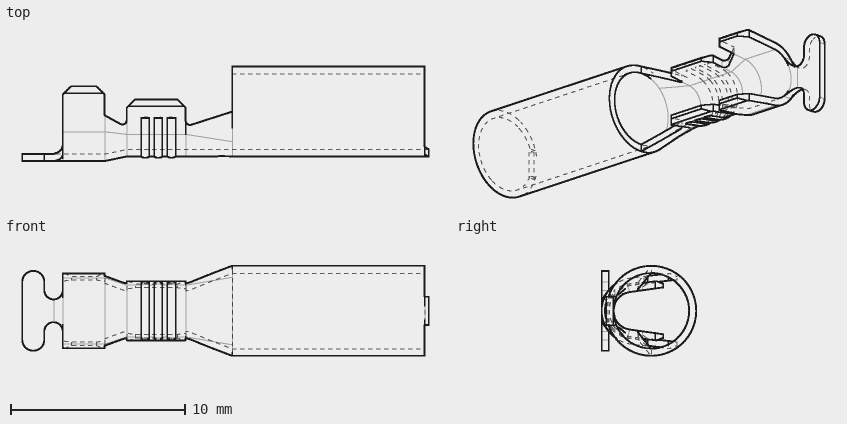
import cadquery as cq
import math

SHEET = 0.42

BARREL_RADIUS = 2.59
BARREL_START = 12.06
BARREL_END = 23.12
CREASE_ANGLE = 41.5

OVERALL_LENGTH = 23.37
TONGUE_HALF_WIDTH = 0.82

INSULATION = (-2.85, 1.917, 6.5)
INSULATION_START = 2.33
INSULATION_END = 4.745
INSULATION_TIP = 1.454

WIRE = (-BARREL_RADIUS, 1.50, 8.0)
WIRE_START = 6.01
WIRE_END = 9.40
WIRE_TIP = 0.70

CORNER_CHAMFER = 0.48
BEVEL_LENGTH = 0.40
BEVEL_DEPTH = SHEET / 2

INSULATION_WALL_TOP = -0.21
WIRE_FRONT_WALL_TOP = -0.91
WIRE_REAR_WALL_TOP = -0.857
BARREL_WALL_TOP = 0.0
WALL_CORNER_RADIUS = 0.25
TRIM_ALLOWANCE = 2 * WALL_CORNER_RADIUS

RIDGE_COUNT = 3
RIDGE_FIRST = 7.07
RIDGE_PITCH = 0.755
RIDGE_WIDTH = 0.47
RIDGE_HEIGHT = 0.08
RIDGE_TOP = -0.37

TAB_BOTTOM = INSULATION[0]
TAB_WIDTH = 1.28
TAB_HALF_HEIGHT = 2.30
NECK_HALF_WIDTH = 0.66
NOTCH_RADIUS = (INSULATION_START - TAB_WIDTH) / 2
NOTCH_X = TAB_WIDTH + NOTCH_RADIUS
NOTCH_Z = NECK_HALF_WIDTH + NOTCH_RADIUS


def arc_point(center_y, radius, angle):
    """Point (Y, Z) on an arc, the angle in degrees measured from -Y toward +Z."""
    turn = math.radians(angle)
    return (center_y - radius * math.cos(turn), radius * math.sin(turn))


def mirrored(point):
    return (point[0], -point[1])


def section_plane(x):
    """Cross-section plane at x, with local axes (Y, Z)."""
    return cq.Workplane("YZ", origin=(x, 0, 0))


def wing_point(crimp, inset, y):
    """Point at height y on a wing's flat, inset from its outer face."""
    bottom, radius, flare = crimp
    start_y, start_z = arc_point(bottom + radius, radius - inset, 90 - flare)
    return (y, start_z + (y - start_y) * math.tan(math.radians(flare)))


def u_section(x, crimp, top, bevelled=False):
    """U-shaped crimp outline at x: a round floor and two flared wings up to Y = top."""
    bottom, radius, flare = crimp
    center = bottom + radius
    inner_radius = radius - SHEET
    outer_start = arc_point(center, radius, 90 - flare)
    inner_start = arc_point(center, inner_radius, 90 - flare)
    inner_tip = wing_point(crimp, SHEET, top)
    outer_side = [wing_point(crimp, 0, top)]
    if bevelled:
        outer_side = [
            wing_point(crimp, 0, top - BEVEL_LENGTH),
            wing_point(crimp, BEVEL_DEPTH, top),
        ]

    outline = section_plane(x).moveTo(*mirrored(outer_side[0]))
    outline = outline.lineTo(*mirrored(outer_start))
    outline = outline.threePointArc((bottom, 0), outer_start)
    for point in outer_side:
        outline = outline.lineTo(*point)
    outline = outline.lineTo(*inner_tip).lineTo(*inner_start)
    outline = outline.threePointArc((bottom + SHEET, 0), mirrored(inner_start))
    outline = outline.lineTo(*mirrored(inner_tip))
    for point in reversed(outer_side[1:]):
        outline = outline.lineTo(*mirrored(point))
    return outline.close()


def half_barrel_section(x):
    """Lower half of the barrel ring, split at the creases to match a U section."""
    crease = 90 - CREASE_ANGLE
    top = 90 + math.degrees(math.asin(BARREL_WALL_TOP / BARREL_RADIUS))
    middle = (crease + top) / 2

    def on_ring(radius, angle):
        return arc_point(0, radius, angle)

    outer = BARREL_RADIUS
    inner = BARREL_RADIUS - SHEET
    return (
        section_plane(x)
        .moveTo(*on_ring(outer, -top))
        .threePointArc(on_ring(outer, -middle), on_ring(outer, -crease))
        .threePointArc(on_ring(outer, 0), on_ring(outer, crease))
        .threePointArc(on_ring(outer, middle), on_ring(outer, top))
        .lineTo(*on_ring(inner, top))
        .threePointArc(on_ring(inner, middle), on_ring(inner, crease))
        .threePointArc(on_ring(inner, 0), on_ring(inner, -crease))
        .threePointArc(on_ring(inner, -middle), on_ring(inner, -top))
        .close()
    )


def ruled_loft(first, second):
    wires = [first.wire().val(), second.wire().val()]
    return cq.Workplane(cq.Solid.makeLoft(wires, True))


def make_crimp(start, end, crimp, tip):
    """Crimp barrel with bevelled wing tips and chamfered wing corners."""
    body = u_section(start, crimp, tip, bevelled=True).extrude(end - start)
    for corner_x, inward in ((start, 1), (end, -1)):
        corner = (
            cq.Workplane("XY")
            .moveTo(corner_x, tip)
            .lineTo(corner_x + inward * CORNER_CHAMFER, tip)
            .lineTo(corner_x, tip - CORNER_CHAMFER)
            .close()
            .extrude(BARREL_RADIUS, both=True)
        )
        body = body.cut(corner)
    return body


def make_ridge(x):
    """Raised rib around the floor of the wire crimp and up both wings to RIDGE_TOP."""
    bottom, radius, flare = WIRE
    center = bottom + radius
    root = radius - SHEET / 2
    left = x - RIDGE_WIDTH / 2
    right = x + RIDGE_WIDTH / 2
    crest = -radius - RIDGE_HEIGHT

    def profile():
        return (
            cq.Workplane("XY", origin=(0, center, 0))
            .moveTo(left, -root)
            .lineTo(left, -radius)
            .threePointArc((x, crest), (right, -radius))
            .lineTo(right, -root)
            .close()
        )

    def turned(shape, angle):
        return shape.rotate((0, center, 0), (1, center, 0), angle)

    sweep = 90 - flare
    wing_start = arc_point(center, radius, sweep)[0]
    wing_length = (RIDGE_TOP - wing_start) / math.cos(math.radians(flare))
    ridge = turned(profile().revolve(2 * sweep, (0, 0), (1, 0)), -sweep)
    for side in (1, -1):
        straight = profile().extrude(side * wing_length)
        rounded_end = (
            cq.Workplane("XY", origin=(0, center, side * wing_length))
            .moveTo(left, -radius)
            .threePointArc((x, crest), (right, -radius))
            .close()
            .revolve(side * 90, (left, -radius), (right, -radius))
        )
        ridge = ridge.union(turned(straight.union(rounded_end), -side * sweep))
    return ridge


def arc_strip(x, bottom, radius, half_width):
    """Curved strip of sheet at x, cut from a round floor between Z = -/+ half_width."""
    inner_radius = radius - SHEET
    center = bottom + radius
    outer_y = center - math.sqrt(radius**2 - half_width**2)
    inner_y = center - math.sqrt(inner_radius**2 - half_width**2)
    return (
        section_plane(x)
        .moveTo(outer_y, -half_width)
        .threePointArc((bottom, 0), (outer_y, half_width))
        .lineTo(inner_y, half_width)
        .threePointArc((bottom + SHEET, 0), (inner_y, -half_width))
        .close()
    )


def flat_strip(x, bottom, half_width):
    return section_plane(x).center(bottom + SHEET / 2, 0).rect(SHEET, 2 * half_width)


def make_tab():
    """Round-ended carrier tab, with a notched neck that curls into the insulation crimp."""
    plate_plane = cq.Workplane("XZ", origin=(0, TAB_BOTTOM, 0))
    bar = (
        plate_plane.center(TAB_WIDTH / 2, 0)
        .slot2D(2 * TAB_HALF_HEIGHT, TAB_WIDTH, 90)
        .extrude(-SHEET)
    )
    neck_start = TAB_WIDTH / 2
    neck = (
        plate_plane.center((neck_start + NOTCH_X) / 2, 0)
        .rect(NOTCH_X - neck_start, 2 * NOTCH_Z)
        .extrude(-SHEET)
    )
    bottom, radius, _ = INSULATION
    curl = ruled_loft(
        flat_strip(NOTCH_X, bottom, NOTCH_Z),
        arc_strip(INSULATION_START, bottom, radius, NOTCH_Z),
    )
    notches = (
        plate_plane.pushPoints([(NOTCH_X, NOTCH_Z), (NOTCH_X, -NOTCH_Z)])
        .circle(NOTCH_RADIUS)
        .extrude(BARREL_RADIUS, both=True)
    )
    return bar.union(neck).union(curl).cut(notches)


def make_barrel():
    return (
        section_plane(BARREL_START)
        .circle(BARREL_RADIUS)
        .circle(BARREL_RADIUS - SHEET)
        .extrude(BARREL_END - BARREL_START)
    )


def make_tongue():
    """Tongue on the barrel floor, flattening out toward its free end."""
    return ruled_loft(
        arc_strip(BARREL_END, -BARREL_RADIUS, BARREL_RADIUS, TONGUE_HALF_WIDTH),
        flat_strip(OVERALL_LENGTH, -BARREL_RADIUS, TONGUE_HALF_WIDTH),
    )


def trim_walls(transition, wire_x, wire_y, far_x, far_y):
    """Slope the wall tops from the far end down to the wire crimp, rounding the low corner."""
    above_walls = (
        cq.Workplane("XY")
        .moveTo(wire_x, wire_y)
        .lineTo(far_x, far_y)
        .lineTo(far_x, BARREL_RADIUS)
        .lineTo(wire_x, BARREL_RADIUS)
        .close()
        .extrude(BARREL_RADIUS, both=True)
        .edges(cq.selectors.NearestToPointSelector((wire_x, wire_y, 0)))
        .fillet(WALL_CORNER_RADIUS)
    )
    return transition.cut(above_walls)


def make_front_transition():
    walls = ruled_loft(
        u_section(INSULATION_END, INSULATION, INSULATION_WALL_TOP),
        u_section(WIRE_START, WIRE, WIRE_FRONT_WALL_TOP + TRIM_ALLOWANCE),
    )
    return trim_walls(walls, WIRE_START, WIRE_FRONT_WALL_TOP, INSULATION_END, INSULATION_WALL_TOP)


def make_rear_transition():
    walls = ruled_loft(
        u_section(WIRE_END, WIRE, WIRE_REAR_WALL_TOP + TRIM_ALLOWANCE),
        half_barrel_section(BARREL_START),
    )
    return trim_walls(walls, WIRE_END, WIRE_REAR_WALL_TOP, BARREL_START, BARREL_WALL_TOP)


terminal = make_crimp(WIRE_START, WIRE_END, WIRE, WIRE_TIP)
terminal = terminal.union(make_front_transition()).union(make_rear_transition())
terminal = terminal.union(make_crimp(INSULATION_START, INSULATION_END, INSULATION, INSULATION_TIP))
terminal = terminal.union(make_barrel()).union(make_tongue()).union(make_tab())
for index in range(RIDGE_COUNT):
    terminal = terminal.union(make_ridge(RIDGE_FIRST + index * RIDGE_PITCH))

result = cq.Workplane(terminal.solids().val())